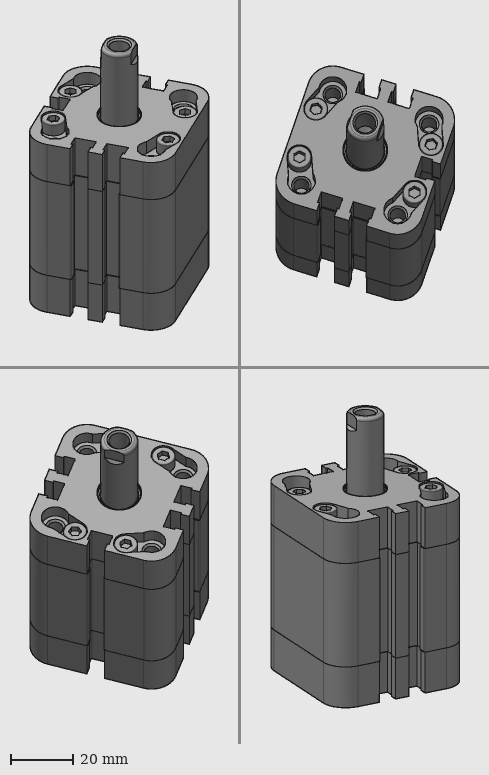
import cadquery as cq
import math

TOTAL_HEIGHT = 90.5
WIDTH = 49.0
HALF = WIDTH / 2
BLOCK_HEIGHT = 64.0
CAP_HEIGHT = 14.1
BARREL_HEIGHT = BLOCK_HEIGHT - 2 * CAP_HEIGHT
CAP_CORNER_RADIUS = 8.2
BARREL_CORNER_RADIUS = 8.1

RIB_HALF = 2.4
WEB_HALF = 1.8
PAIR_CAVITY_END = 9.05
CAP_PAIR_OPENING_END = 8.4
BARREL_PAIR_OPENING_END = 8.05
CAP_PAIR_DEPTH = 6.6
BARREL_PAIR_DEPTH = 6.2

SINGLE_CAVITY_HALF = 3.6
CAP_SINGLE_OPENING_HALF = 3.0
BARREL_SINGLE_OPENING_HALF = 2.7
SINGLE_DEPTH = 6.6
SINGLE_EDGE_RADIUS = 0.3

LIP_THICKNESS = 2.9

MOUNT_HOLE_OFFSET = 16.3
MOUNT_HOLE_DIAMETER = 4.9
MOUNT_HOLE_MOUTH_DIAMETER = 6.2
POCKET_DEPTH = 4.5
POCKET_ROUND_DIAMETER = 9.0
POCKET_SLOT_WIDTH = 7.9
SCREW_X = 19.5
SCREW_Y = 8.6
SCREW_HEAD_DIAMETER = 7.5
SCREW_HEAD_HEIGHT = 4.2
SCREW_HEAD_EDGE = 0.2
HEX_CORNERS = 4.1
HEX_DEPTH = 2.0
FRONT_HEX_TURN = 30.0
BACK_HEX_TURN = 50.0

ROD_DIAMETER = 12.0
ROD_TIP_RADIUS = 1.2
ROD_BORE_DIAMETER = 6.6
ROD_BORE_MOUTH_DIAMETER = 7.9
ROD_BORE_DEPTH = 12.7
DRILL_POINT_ANGLE = 118.0
FLAT_WIDTH = 10.05
FLAT_LENGTH = 4.4
RECESS_MOUTH_DIAMETER = 14.4
RECESS_DIAMETER = 14.0
RECESS_DEPTH = 0.45
SEAL_SEAT_DIAMETER = 13.7
SEAL_SEAT_DEPTH = 0.9
SEAL_LIP_DIAMETER = 12.6


def t_slot(opening, cavity, depth, height):
    """T-slot cutter in the -Y side, with (start, end) X ranges for its opening and its cavity."""
    lip = cq.Workplane("XY").box(opening[1] - opening[0], LIP_THICKNESS, height, centered=False)
    room = cq.Workplane("XY").box(cavity[1] - cavity[0], depth - LIP_THICKNESS, height, centered=False)
    lip = lip.translate((opening[0], -HALF, 0))
    room = room.translate((cavity[0], -HALF + LIP_THICKNESS, 0))
    return lip.union(room)


def single_slot(opening_half, height):
    """Single T-slot cutter in the -Y side, with its floor corners and inner lip edges rounded."""
    slot = t_slot(
        (-opening_half, opening_half), (-SINGLE_CAVITY_HALF, SINGLE_CAVITY_HALF), SINGLE_DEPTH, height
    )
    slot = slot.faces(">Y").edges("|Z").fillet(SINGLE_EDGE_RADIUS)
    for side in (-1, 1):
        lip_edge = (side * opening_half, -HALF + LIP_THICKNESS, height / 2)
        slot = slot.edges(cq.NearestToPointSelector(lip_edge)).fillet(SINGLE_EDGE_RADIUS)
    return slot


def profile_block(height, corner_radius, pair_opening_end, pair_depth, single_opening_half):
    """Rounded square block standing on Z = 0 with all five T-slots along its height."""
    block = cq.Workplane("XY").box(WIDTH, WIDTH, height, centered=(True, True, False))
    block = block.edges("|Z").fillet(corner_radius)
    right_slot = t_slot((RIB_HALF, pair_opening_end), (WEB_HALF, PAIR_CAVITY_END), pair_depth, height)
    pair = right_slot.union(right_slot.mirror("YZ"))
    single = single_slot(single_opening_half, height).rotate((0, 0, 0), (0, 0, 1), -90)
    return block.cut(pair).cut(pair.mirror("XZ")).cut(single)


def cap_block():
    return profile_block(
        CAP_HEIGHT, CAP_CORNER_RADIUS, CAP_PAIR_OPENING_END, CAP_PAIR_DEPTH, CAP_SINGLE_OPENING_HALF
    )


def cylinder(diameter, height, x=0.0, y=0.0, z=0.0):
    return cq.Workplane("XY", origin=(x, y, z)).circle(diameter / 2).extrude(height)


def countersink(mouth_diameter, diameter, top, x=0.0, y=0.0):
    """45 degree cone that widens a hole of the given diameter to its mouth at Z = top."""
    depth = (mouth_diameter - diameter) / 2
    cone = cq.Solid.makeCone(diameter / 2, mouth_diameter / 2, depth, pnt=cq.Vector(x, y, top - depth))
    return cq.Workplane(obj=cone)


def corner_pocket(side_x, side_y):
    """Pocket joining a mounting hole and a screw seat, with the mounting hole below it."""
    floor = CAP_HEIGHT - POCKET_DEPTH
    hole_x, hole_y = side_x * MOUNT_HOLE_OFFSET, side_y * MOUNT_HOLE_OFFSET
    screw_x, screw_y = side_x * SCREW_X, side_y * SCREW_Y
    run_x, run_y = screw_x - hole_x, screw_y - hole_y
    slot = (
        cq.Workplane("XY", origin=((hole_x + screw_x) / 2, (hole_y + screw_y) / 2, floor))
        .slot2D(
            math.hypot(run_x, run_y) + POCKET_SLOT_WIDTH,
            POCKET_SLOT_WIDTH,
            math.degrees(math.atan2(run_y, run_x)),
        )
        .extrude(POCKET_DEPTH)
    )
    return (
        slot.union(cylinder(POCKET_ROUND_DIAMETER, POCKET_DEPTH, hole_x, hole_y, floor))
        .union(cylinder(MOUNT_HOLE_DIAMETER, floor, hole_x, hole_y))
        .union(countersink(MOUNT_HOLE_MOUTH_DIAMETER, MOUNT_HOLE_DIAMETER, floor, hole_x, hole_y))
    )


def screw_head(side_x, side_y):
    """Socket head standing on the pocket floor."""
    turn = BACK_HEX_TURN if side_y > 0 else FRONT_HEX_TURN
    socket = (
        cq.Workplane("XY")
        .polygon(6, HEX_CORNERS)
        .extrude(HEX_DEPTH)
        .rotate((0, 0, 0), (0, 0, 1), turn)
        .translate((0, 0, SCREW_HEAD_HEIGHT - HEX_DEPTH))
    )
    head = cylinder(SCREW_HEAD_DIAMETER, SCREW_HEAD_HEIGHT).faces(">Z").edges().fillet(SCREW_HEAD_EDGE)
    return head.cut(socket).translate((side_x * SCREW_X, side_y * SCREW_Y, CAP_HEIGHT - POCKET_DEPTH))


def make_front_cap():
    """Cap at the rod end, with corner pockets, screw heads, rod hole and seal recess."""
    cap = cap_block()
    for side_x in (-1, 1):
        for side_y in (-1, 1):
            cap = cap.cut(corner_pocket(side_x, side_y)).union(screw_head(side_x, side_y))
    recess_floor = CAP_HEIGHT - RECESS_DEPTH
    seat_floor = CAP_HEIGHT - SEAL_SEAT_DEPTH
    cap = (
        cap.cut(cylinder(ROD_DIAMETER, CAP_HEIGHT))
        .cut(countersink(SEAL_LIP_DIAMETER, ROD_DIAMETER, seat_floor))
        .cut(cylinder(SEAL_SEAT_DIAMETER, SEAL_SEAT_DEPTH, z=seat_floor))
        .cut(cylinder(RECESS_DIAMETER, RECESS_DEPTH, z=recess_floor))
        .cut(countersink(RECESS_MOUTH_DIAMETER, RECESS_DIAMETER, CAP_HEIGHT))
    )
    return cap.translate((0, 0, BLOCK_HEIGHT - CAP_HEIGHT))


def make_barrel():
    """Extruded body between the two caps, its narrower slot mouths rounded out to the cap openings."""
    barrel = profile_block(
        BARREL_HEIGHT,
        BARREL_CORNER_RADIUS,
        BARREL_PAIR_OPENING_END,
        BARREL_PAIR_DEPTH,
        BARREL_SINGLE_OPENING_HALF,
    )
    middle = BARREL_HEIGHT / 2
    for side in (-1, 1):
        single_mouth = (-HALF, side * BARREL_SINGLE_OPENING_HALF, middle)
        barrel = barrel.edges(cq.NearestToPointSelector(single_mouth)).fillet(
            CAP_SINGLE_OPENING_HALF - BARREL_SINGLE_OPENING_HALF
        )
        for face_y in (-HALF, HALF):
            pair_mouth = (side * BARREL_PAIR_OPENING_END, face_y, middle)
            barrel = barrel.edges(cq.NearestToPointSelector(pair_mouth)).fillet(
                CAP_PAIR_OPENING_END - BARREL_PAIR_OPENING_END
            )
    return barrel.translate((0, 0, CAP_HEIGHT))


def rod_bore():
    """Blind threaded bore from the rod tip, with a countersunk mouth and a drill point."""
    radius = ROD_BORE_DIAMETER / 2
    point_depth = radius / math.tan(math.radians(DRILL_POINT_ANGLE / 2))
    bottom = TOTAL_HEIGHT - ROD_BORE_DEPTH
    point = cq.Solid.makeCone(0, radius, point_depth, pnt=cq.Vector(0, 0, bottom - point_depth))
    return (
        cylinder(ROD_BORE_DIAMETER, ROD_BORE_DEPTH, z=bottom)
        .union(cq.Workplane(obj=point))
        .union(countersink(ROD_BORE_MOUTH_DIAMETER, ROD_BORE_DIAMETER, TOTAL_HEIGHT))
    )


def wrench_flat():
    """Cutter for the flat on the +X side, running out of the rod at 45 degrees."""
    flat_x = FLAT_WIDTH / 2
    rod_radius = ROD_DIAMETER / 2
    flat_end = TOTAL_HEIGHT - FLAT_LENGTH
    return (
        cq.Workplane("XZ")
        .moveTo(flat_x, TOTAL_HEIGHT)
        .lineTo(flat_x, flat_end)
        .lineTo(rod_radius, flat_end - (rod_radius - flat_x))
        .lineTo(rod_radius, TOTAL_HEIGHT)
        .close()
        .extrude(rod_radius, both=True)
    )


def make_rod():
    """Piston rod, through the front cap down to the barrel."""
    base = BLOCK_HEIGHT - CAP_HEIGHT
    rod = cylinder(ROD_DIAMETER, TOTAL_HEIGHT - base, z=base)
    rod = rod.faces(">Z").edges().fillet(ROD_TIP_RADIUS)
    flat = wrench_flat()
    return rod.cut(rod_bore()).cut(flat).cut(flat.mirror("YZ"))


rear_cap = cap_block()
barrel = make_barrel()
front_cap = make_front_cap()
rod = make_rod()

result = cq.Compound.makeCompound([rear_cap.val(), barrel.val(), front_cap.val(), rod.val()])